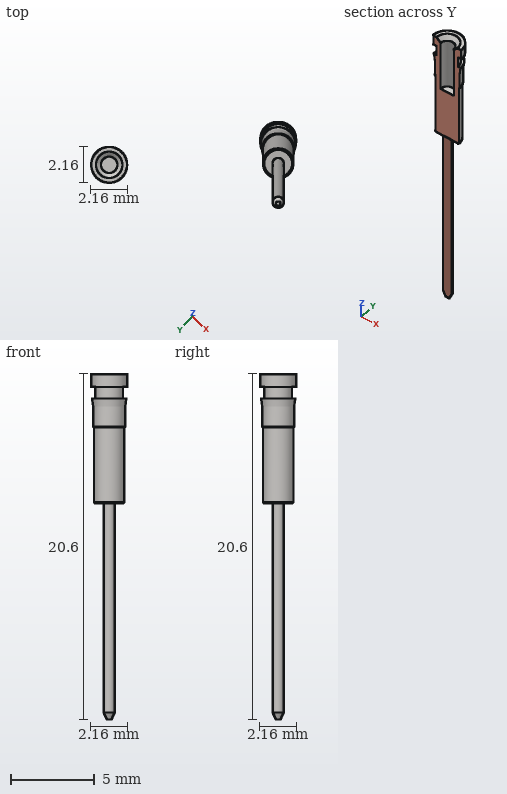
import cadquery as cq

total_length = 20.65
barrel_length = 7.73
pin_length = total_length - barrel_length

barrel_bottom = pin_length
barrel_top = total_length

head_radius = 2.16 / 2
head_height = 0.76
neck_radius = 1.67 / 2
neck_height = 0.70
head_bottom = barrel_top - head_height
collar_top = head_bottom - neck_height

collar_radius = 2.06 / 2
collar_height = 0.50
shoulder_radius = 1.93 / 2
shoulder_height = 1.22
collar_bottom = collar_top - collar_height
shoulder_bottom = collar_bottom - shoulder_height

sleeve_radius = 1.83 / 2
shoulder_chamfer = shoulder_radius - sleeve_radius
end_chamfer = 0.08

socket_radius = 0.98 / 2
funnel_radius = 1.58 / 2
funnel_depth = funnel_radius - socket_radius
socket_depth = 4.0

pin_radius = 0.68 / 2
tip_radius = 0.28 / 2
tip_length = 0.43


def revolve_about_z(profile):
    """Turn an (R, Z) profile a full turn about the Z axis."""
    return cq.Workplane("XZ").polyline(profile).close().revolve(360, (0, 0, 0), (0, 1, 0))


def make_barrel():
    """Turned barrel: head, neck, tapered collar, shoulder, sleeve and blind socket."""
    socket_floor = barrel_top - socket_depth
    profile = [
        (0, barrel_bottom),
        (sleeve_radius - end_chamfer, barrel_bottom),
        (sleeve_radius, barrel_bottom + end_chamfer),
        (sleeve_radius, shoulder_bottom),
        (shoulder_radius, shoulder_bottom + shoulder_chamfer),
        (shoulder_radius, collar_bottom),
        (collar_radius, collar_top),
        (neck_radius, collar_top),
        (neck_radius, head_bottom),
        (head_radius, head_bottom),
        (head_radius, barrel_top),
        (funnel_radius, barrel_top),
        (socket_radius, barrel_top - funnel_depth),
        (socket_radius, socket_floor),
        (0, socket_floor),
    ]
    return revolve_about_z(profile)


def make_pin():
    """Round pin that meets the lower face of the barrel and ends in a blunt cone."""
    profile = [
        (0, 0),
        (tip_radius, 0),
        (pin_radius, tip_length),
        (pin_radius, pin_length),
        (0, pin_length),
    ]
    return revolve_about_z(profile)


barrel = make_barrel()
pin = make_pin()

result = cq.Compound.makeCompound([barrel.val(), pin.val()])